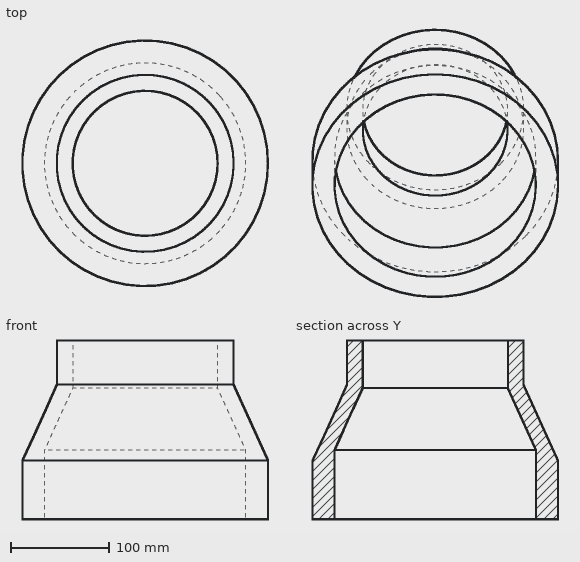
import cadquery as cq
import math


wide_outer_diameter = 250.0
wide_wall = 22.7
narrow_outer_diameter = 180.0
narrow_wall = 16.4

wide_length = 60.0
cone_length = 77.0
narrow_length = 45.0

wide_outer_radius = wide_outer_diameter / 2
narrow_outer_radius = narrow_outer_diameter / 2
cone_top = wide_length + cone_length
total_height = cone_top + narrow_length

cone_slope = (wide_outer_radius - narrow_outer_radius) / cone_length
cone_inset = narrow_wall / math.cos(math.atan(cone_slope))
bore_cone_bottom = wide_length + (wide_wall - cone_inset) / cone_slope
bore_cone_top = cone_top - (cone_inset - narrow_wall) / cone_slope


def stepped_cone(wide_radius, narrow_radius, cone_start, cone_end):
    """Solid of revolution about Z: wide cylinder, cone, then narrow cylinder."""
    return (
        cq.Workplane("XZ")
        .moveTo(0, 0)
        .lineTo(wide_radius, 0)
        .lineTo(wide_radius, cone_start)
        .lineTo(narrow_radius, cone_end)
        .lineTo(narrow_radius, total_height)
        .lineTo(0, total_height)
        .close()
        .revolve(360, (0, 0, 0), (0, 1, 0))
    )


body = stepped_cone(wide_outer_radius, narrow_outer_radius, wide_length, cone_top)
bore = stepped_cone(
    wide_outer_radius - wide_wall,
    narrow_outer_radius - narrow_wall,
    bore_cone_bottom,
    bore_cone_top,
)

result = body.cut(bore)